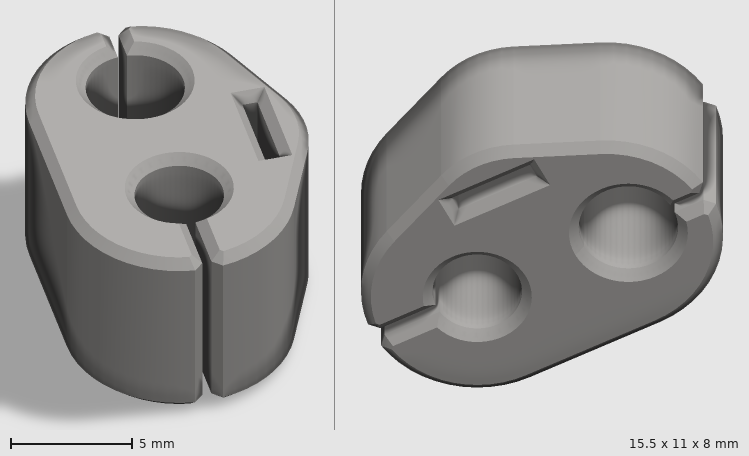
import cadquery as cq
import math

length = 15.53
height = 8.0
chamfer = 0.4
slit_width = 0.39
side_radius = 4.8

tip_y = slit_width / 2 + chamfer
side_offset = length / 2 - math.sqrt(side_radius**2 - tip_y**2)

crown_radius = 4.13
crown_top = 6.2
crown_center_y = crown_top - crown_radius

left_hole_x = -4.0
left_hole_radius = 2.05
right_hole_x = side_offset
right_hole_radius = 1.85
slit_reach = 9.32

slot_length = 3.63
slot_width = 0.64
slot_y = 4.32


def outline():
    """Flat-bottomed outline of two side arcs and a crown arc joined by tangent lines."""
    center_distance = math.hypot(side_offset, crown_center_y)
    slope = math.atan2(crown_center_y, side_offset) - math.asin(
        (side_radius - crown_radius) / center_distance
    )

    def side_point(angle):
        return (
            side_offset + side_radius * math.cos(angle),
            side_radius * math.sin(angle),
        )

    def mirrored(point):
        return (-point[0], point[1])

    normal = math.pi / 2 - slope
    arc_end = side_point(normal)
    arc_middle = side_point(0)
    crown_end = (
        crown_radius * math.cos(normal),
        crown_center_y + crown_radius * math.sin(normal),
    )
    return (
        cq.Workplane("XY")
        .moveTo(-side_offset, -side_radius)
        .lineTo(side_offset, -side_radius)
        .threePointArc(arc_middle, arc_end)
        .lineTo(*crown_end)
        .threePointArc((0, crown_top), mirrored(crown_end))
        .lineTo(*mirrored(arc_end))
        .threePointArc(mirrored(arc_middle), (-side_offset, -side_radius))
        .close()
    )


def cable_opening(x, radius, direction):
    """Round hole with a slit leading out in the given X direction (-1 or 1)."""
    hole = cq.Workplane("XY").center(x, 0).circle(radius).extrude(height)
    slit_length = slit_reach - abs(x)
    slit = (
        cq.Workplane("XY")
        .center(x + direction * slit_length / 2, 0)
        .rect(slit_length, slit_width)
        .extrude(height)
    )
    return hole.union(slit)


def bevel_slit_mouths(body):
    """Chamfer the upright edges where the slits meet the outer wall."""
    mouth_x = side_offset + math.sqrt(side_radius**2 - (slit_width / 2) ** 2)
    half_height = height / 2
    for x in (-mouth_x, mouth_x):
        for y in (-slit_width / 2, slit_width / 2):
            edge = cq.selectors.NearestToPointSelector((x, y, half_height))
            body = body.edges("|Z").edges(edge).chamfer(chamfer)
    return body


body = outline().extrude(height)
body = body.cut(cable_opening(left_hole_x, left_hole_radius, -1))
body = body.cut(cable_opening(right_hole_x, right_hole_radius, 1))
body = bevel_slit_mouths(body)

strap_slot = cq.Workplane("XY").center(0, slot_y).rect(slot_length, slot_width).extrude(height)
body = body.cut(strap_slot)

result = body.faces("<Z or >Z").edges().chamfer(chamfer)